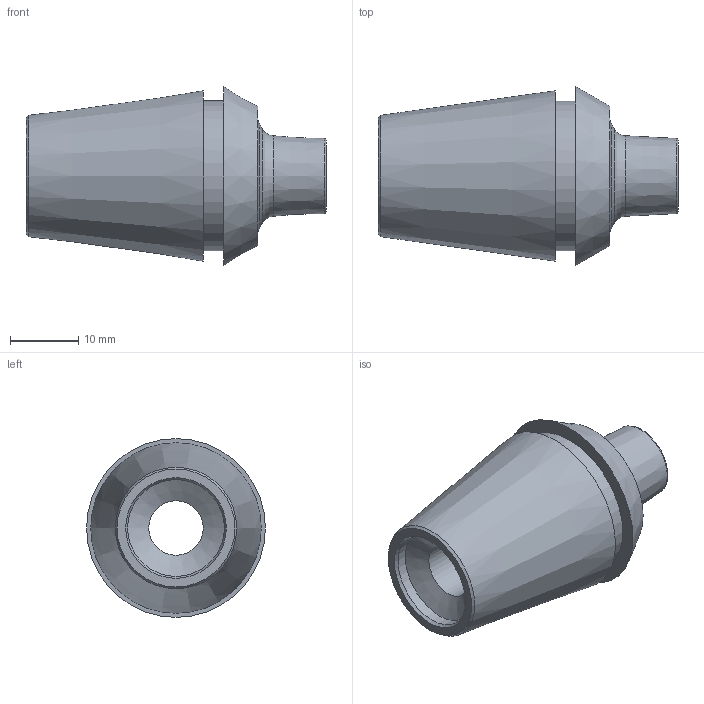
import cadquery as cq
import math



def sine(degrees):
    return math.sin(math.radians(degrees))


def cosine(degrees):
    return math.cos(math.radians(degrees))


def tangent(degrees):
    return math.tan(math.radians(degrees))


total_length = 44.0
taper_end_x = 26.0
flange_start_x = 29.0
flange_end_x = 34.0

taper_radius = 12.5
taper_angle = 8.0
groove_radius = 11.0
flange_radius = 13.115
flange_angle = 30.0
stub_end_radius = 5.5
stub_angle = 3.0
stub_rounding = 0.3
chamfer_length = 0.4
chamfer_angle = 33.0

blend_radius = 2.0
blend_cone_angle = 60.0
blend_cone_length = 0.37

bore_radius = 4.0
socket_radius = 7.1
socket_mouth_radius = 7.38
socket_mouth_angle = 30.0
socket_wall_length = 1.5
socket_floor_angle = 60.0


def blend_arc(path, start, start_angle, end_angle):
    """Add a concave arc; angles are the downward slopes of the profile at its two ends."""
    centre_x = start[0] + blend_radius * sine(start_angle)
    centre_r = start[1] + blend_radius * cosine(start_angle)

    def point_at(angle):
        return (centre_x - blend_radius * sine(angle), centre_r - blend_radius * cosine(angle))

    end = point_at(end_angle)
    return path.threePointArc(point_at((start_angle + end_angle) / 2), end), end


def make_body():
    chamfer_drop = chamfer_length * tangent(chamfer_angle)
    taper_start_radius = taper_radius - (taper_end_x - chamfer_length) * tangent(taper_angle)
    flange_end_radius = flange_radius - (flange_end_x - flange_start_x) * tangent(flange_angle)

    first_arc_length = blend_radius * (sine(90) - sine(blend_cone_angle))
    first_arc_drop = blend_radius * (cosine(blend_cone_angle) - cosine(90))
    cone_drop = blend_cone_length * tangent(blend_cone_angle)
    second_arc_length = blend_radius * (sine(blend_cone_angle) - sine(stub_angle))
    second_arc_drop = blend_radius * (cosine(stub_angle) - cosine(blend_cone_angle))

    stub_start_x = flange_end_x + first_arc_length + blend_cone_length + second_arc_length
    stub_start_radius = stub_end_radius + (total_length - stub_start_x) * tangent(stub_angle)
    blend_top = (flange_end_x, stub_start_radius + second_arc_drop + cone_drop + first_arc_drop)

    profile = (
        cq.Workplane("XY")
        .moveTo(0, 0)
        .lineTo(0, taper_start_radius - chamfer_drop)
        .lineTo(chamfer_length, taper_start_radius)
        .lineTo(taper_end_x, taper_radius)
        .lineTo(taper_end_x, groove_radius)
        .lineTo(flange_start_x, groove_radius)
        .lineTo(flange_start_x, flange_radius)
        .lineTo(flange_end_x, flange_end_radius)
        .lineTo(*blend_top)
    )
    profile, cone_top = blend_arc(profile, blend_top, 90, blend_cone_angle)
    cone_bottom = (cone_top[0] + blend_cone_length, cone_top[1] - cone_drop)
    profile = profile.lineTo(*cone_bottom)
    profile, _ = blend_arc(profile, cone_bottom, blend_cone_angle, stub_angle)
    profile = (
        profile
        .lineTo(total_length, stub_end_radius)
        .lineTo(total_length, 0)
        .close()
    )
    body = profile.revolve(360, (0, 0, 0), (1, 0, 0))
    return body.faces(">X").edges().fillet(stub_rounding)


def make_bore():
    mouth_end_x = (socket_mouth_radius - socket_radius) / tangent(socket_mouth_angle)
    wall_end_x = mouth_end_x + socket_wall_length
    floor_end_x = wall_end_x + (socket_radius - bore_radius) / tangent(socket_floor_angle)
    return (
        cq.Workplane("XY")
        .moveTo(0, 0)
        .lineTo(0, socket_mouth_radius)
        .lineTo(mouth_end_x, socket_radius)
        .lineTo(wall_end_x, socket_radius)
        .lineTo(floor_end_x, bore_radius)
        .lineTo(total_length, bore_radius)
        .lineTo(total_length, 0)
        .close()
        .revolve(360, (0, 0, 0), (1, 0, 0))
    )


result = make_body().cut(make_bore())